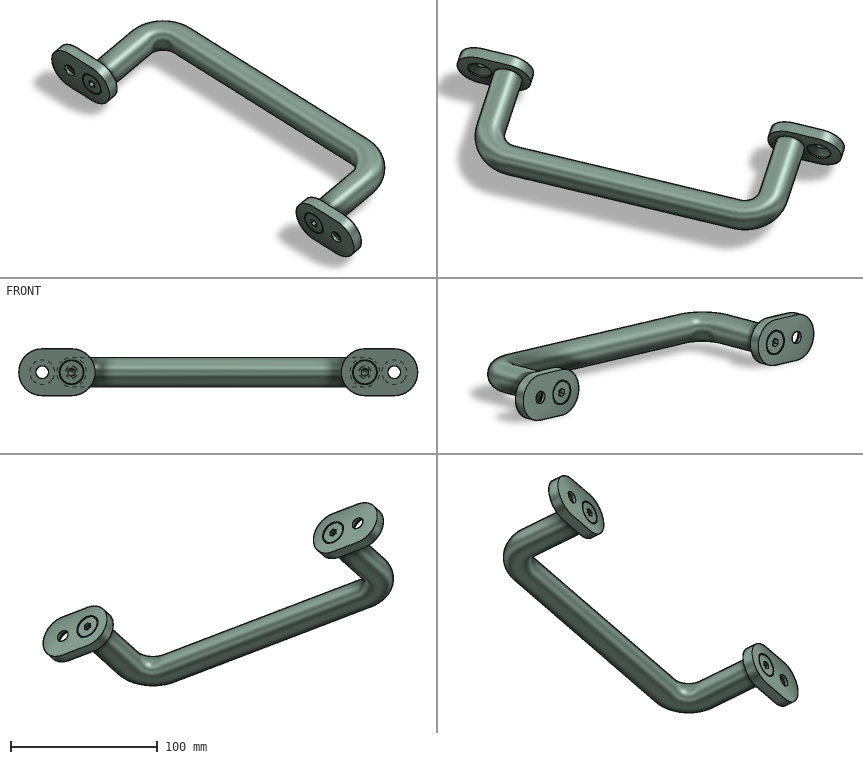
import cadquery as cq
import math

overall_length = 272.0
overall_depth = 81.3
leg_spacing = 200.0

foot_width = 32.0
foot_thickness = 8.0
bore_diameter = 8.5
countersink_diameter = 17.0
countersink_rim_depth = 1.0

bar_diameter = 20.0
bend_radius = bar_diameter

screw_head_diameter = 15.8
screw_shank_diameter = 8.0
screw_length = 25.0
socket_width = 5.0
socket_depth = 4.0
socket_tip_angle = 120.0

leg_x = leg_spacing / 2
mount_hole_x = overall_length / 2 - foot_width / 2
foot_center_x = (leg_x + mount_hole_x) / 2
foot_length = mount_hole_x - leg_x + foot_width
bar_center_y = overall_depth - bar_diameter / 2

countersink_cone_depth = (countersink_diameter - bore_diameter) / 2
head_cone_height = (screw_head_diameter - screw_shank_diameter) / 2

head_rim_height = countersink_rim_depth + (countersink_diameter - screw_head_diameter) / 2

SIDES = (-1, 1)


def cylinder_along_y(x, y_start, y_end, diameter):
    """Round solid parallel to Y, centred on Z = 0."""
    height = y_end - y_start
    return cq.Workplane(
        cq.Solid.makeCylinder(diameter / 2, height, cq.Vector(x, y_start, 0), cq.Vector(0, 1, 0))
    )


def make_bar():
    """U-shaped round bar with a blind screw hole in the end of each leg."""
    bend_start_y = bar_center_y - bend_radius
    bend_end_x = leg_x - bend_radius
    path = (
        cq.Workplane("XY")
        .moveTo(-leg_x, foot_thickness)
        .lineTo(-leg_x, bend_start_y)
        .tangentArcPoint((-bend_end_x, bar_center_y), relative=False)
        .lineTo(bend_end_x, bar_center_y)
        .tangentArcPoint((leg_x, bend_start_y), relative=False)
        .lineTo(leg_x, foot_thickness)
    )
    leg_end = cq.Plane(origin=(-leg_x, foot_thickness, 0), xDir=(1, 0, 0), normal=(0, 1, 0))
    bar = cq.Workplane(leg_end).circle(bar_diameter / 2).sweep(path)
    for side in SIDES:
        bar = bar.cut(cylinder_along_y(side * leg_x, foot_thickness, screw_length, screw_shank_diameter))
    return bar


def countersunk_hole(x, open_y, direction):
    """Cutter for a hole entered at Y = open_y and running along Y in the given direction (+1 or -1)."""
    rim_radius = countersink_diameter / 2
    bore_radius = bore_diameter / 2
    cone_end = countersink_rim_depth + countersink_cone_depth
    profile = [
        (0, 0),
        (rim_radius, 0),
        (rim_radius, direction * countersink_rim_depth),
        (bore_radius, direction * cone_end),
        (bore_radius, direction * foot_thickness),
        (0, direction * foot_thickness),
    ]
    return cq.Workplane("XY", origin=(x, open_y, 0)).polyline(profile).close().revolve(360, (0, 0), (0, 1))


def make_foot(side):
    """Oblong plate: the screw hole opens at the base, the mounting hole on the leg side."""
    plate = (
        cq.Workplane("XZ")
        .center(side * foot_center_x, 0)
        .slot2D(foot_length, foot_width)
        .extrude(-foot_thickness)
    )
    screw_hole = countersunk_hole(side * leg_x, 0, 1)
    mount_hole = countersunk_hole(side * mount_hole_x, foot_thickness, -1)
    return plate.cut(screw_hole).cut(mount_hole)


def hexagon_socket(x):
    """Cutter for a hexagon socket whose bottom is a cone reaching out to the hexagon's corners."""
    corner_diameter = socket_width / math.cos(math.pi / 6)
    tip_height = corner_diameter / 2 / math.tan(math.radians(socket_tip_angle / 2))
    hexagon = (
        cq.Workplane("XZ", origin=(x, 0, 0))
        .transformed(rotate=(0, 0, 90))
        .polygon(6, corner_diameter)
        .extrude(-(socket_depth + tip_height))
    )
    pointed_drill = (
        cq.Workplane("XY", origin=(x, 0, 0))
        .polyline([
            (0, 0),
            (corner_diameter / 2, 0),
            (corner_diameter / 2, socket_depth),
            (0, socket_depth + tip_height),
        ])
        .close()
        .revolve(360, (0, 0), (0, 1))
    )
    return hexagon.intersect(pointed_drill)


def make_screw(side):
    """Countersunk screw, flush with the base of the foot."""
    x = side * leg_x
    head_radius = screw_head_diameter / 2
    shank_radius = screw_shank_diameter / 2
    profile = [
        (0, 0),
        (head_radius, 0),
        (head_radius, head_rim_height),
        (shank_radius, head_rim_height + head_cone_height),
        (shank_radius, screw_length),
        (0, screw_length),
    ]
    screw = cq.Workplane("XY", origin=(x, 0, 0)).polyline(profile).close().revolve(360, (0, 0), (0, 1))
    return screw.cut(hexagon_socket(x))


bar = make_bar()
feet = [make_foot(side) for side in SIDES]
screws = [make_screw(side) for side in SIDES]

result = cq.Compound.makeCompound(
    [bar.val(), *[foot.val() for foot in feet], *[screw.val() for screw in screws]]
)